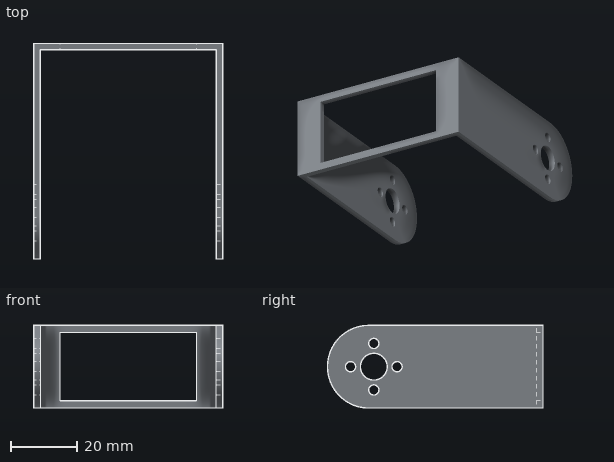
import cadquery as cq

width = 57.0
height = 25.0
arm_length = 65.0
wall = 2.0

window_width = 41.0
window_height = 20.5

hub_from_back = 51.0
hub_diameter = 8.0
screw_count = 4
screw_diameter = 3.0
screw_circle_radius = 7.0

end_radius = height / 2
straight_length = arm_length - end_radius


def bracket_body():
    """Side outline extruded across the width and hollowed into a U."""
    block = (
        cq.Workplane("YZ")
        .moveTo(0, -end_radius)
        .lineTo(0, end_radius)
        .lineTo(-straight_length, end_radius)
        .threePointArc((-arm_length, 0), (-straight_length, -end_radius))
        .close()
        .extrude(width / 2, both=True)
    )
    gap_width = width - 2 * wall
    gap_center_y = -wall - arm_length / 2
    gap = cq.Workplane("XY").box(gap_width, arm_length, height).translate((0, gap_center_y, 0))
    return block.cut(gap)


def back_window():
    """Cutter for the window, centred on the back wall."""
    cutter = cq.Workplane("XY").box(window_width, 2 * wall, window_height)
    return cutter.translate((0, -wall / 2, 0))


def horn_holes():
    """Cutter for the hub hole and its ring of screw holes, through both arms."""
    hub_axis = cq.Workplane("YZ").center(-hub_from_back, 0)
    hub = hub_axis.circle(hub_diameter / 2).extrude(width, both=True)
    screws = (
        hub_axis.polarArray(screw_circle_radius, 0, 360, screw_count)
        .circle(screw_diameter / 2)
        .extrude(width, both=True)
    )
    return hub.union(screws)


result = bracket_body().cut(back_window()).cut(horn_holes())